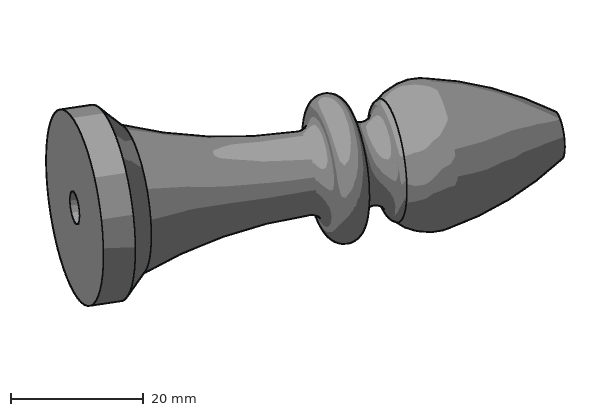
import cadquery as cq
import math

total_length = 76.1
base_radius = 15.0
base_height = 5.0
base_shoulder_end = 8.6

body_radius = 11.5
neck_radius = 6.4
bead_radius = 2.5

stem_end = 36.1
collar_bottom = stem_end + bead_radius
collar_middle = collar_bottom + bead_radius
collar_top = collar_middle + bead_radius
neck_middle = collar_top + bead_radius
cove_radius_at_collar = neck_radius + bead_radius

cove_radius_at_head = 8.45
neck_end = neck_middle + math.sqrt(
    bead_radius**2 - (cove_radius_at_collar - cove_radius_at_head) ** 2
)

head_bottom = 49.5
head_bottom_radius = 9.4
head_lip_middle = 48.9
head_lip_middle_radius = 9.05
head_shoulder = 53.2
head_widest = 56.85
head_arc_middle = 66.0
head_arc_middle_radius = 8.9
tip_radius = 3.65

hole_diameter = 5.0
hole_depth = 5.0

flare_depth = body_radius - neck_radius
flare_length = stem_end - base_shoulder_end
flare_radius = (flare_length**2 + flare_depth**2) / (2 * flare_depth)
flare_middle = (base_shoulder_end + stem_end) / 2
flare_middle_radius = (
    neck_radius + flare_radius - math.sqrt(flare_radius**2 - (flare_length / 2) ** 2)
)


def turned_body():
    """Revolve the half profile, drawn as (radius, station), about the Y axis."""
    profile = (
        cq.Workplane("XY")
        .lineTo(base_radius, 0)
        .lineTo(base_radius, base_height)
        .lineTo(body_radius, base_shoulder_end)
        .threePointArc((flare_middle_radius, flare_middle), (neck_radius, stem_end))
        .radiusArc((cove_radius_at_collar, collar_bottom), bead_radius)
        .threePointArc((body_radius, collar_middle), (cove_radius_at_collar, collar_top))
        .threePointArc((neck_radius, neck_middle), (cove_radius_at_head, neck_end))
        .threePointArc((head_lip_middle_radius, head_lip_middle), (head_bottom_radius, head_bottom))
        .threePointArc((body_radius, head_shoulder), (body_radius, head_widest))
        .threePointArc((head_arc_middle_radius, head_arc_middle), (tip_radius, total_length))
        .lineTo(0, total_length)
        .close()
    )
    return profile.revolve(360, (0, 0), (0, 1))


def base_hole():
    """Cylinder entering the base along +Y."""
    return cq.Workplane("XZ").circle(hole_diameter / 2).extrude(-hole_depth)


result = turned_body().cut(base_hole())